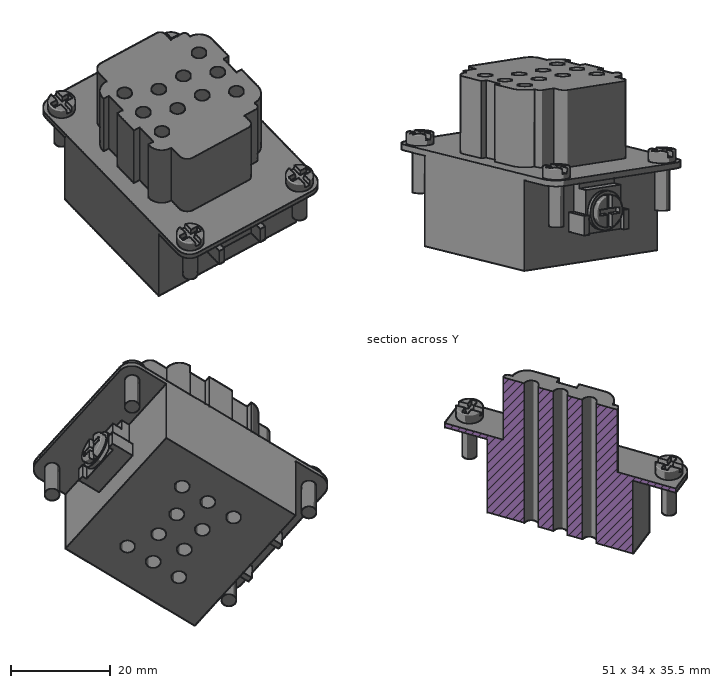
import cadquery as cq


plate_length = 51.0
plate_width = 34.0
plate_thickness = 1.2
plate_corner_radius = 3.0

housing_length = 32.2
housing_width = plate_width
overall_height = 35.5

insert_height = 15.8
insert_half_length = 15.7
insert_back = 13.5
insert_front = -insert_back
back_shoulder = 6.7
back_step = 10.35
front_shoulder = -10.25
step_half_length = 12.6
lobe_half_length = 11.05
lobe_radius = 3.2
back_shoulder_radius = 1.25
back_step_radius = 0.8
front_shoulder_radius = 2.0
back_slot_half_width = 2.2
back_slot_floor = 12.25
front_notch_half_width = 7.6
front_notch_floor = -12.2
front_key_half_width = 2.87
front_key_face = -13.6

contact_diameter = 3.0
contact_pitch = 6.4
outer_row_y = 9.2
inner_row_y = 3.05

screw_spacing_x = 44.0
screw_spacing_y = 27.0
screw_shank_diameter = 3.0
screw_shank_length = 10.0
screw_head_diameter = 5.5
screw_head_height = 2.2
screw_slot_width = 1.05
screw_slot_depth = 1.1
screw_cross_length = 4.1

head_edge_radius = 0.2
slot_wall_taper = 8.0

end_wall_x = 17.95
terminal_width = 8.9
terminal_bottom = -13.1
ear_x = 21.1
ear_thickness = 1.2
ear_top = -9.1
terminal_block_x = 20.1
terminal_block_top = -4.1
terminal_screw_z = -8.7
terminal_washer_diameter = 8.0
terminal_washer_face_x = 21.0
terminal_head_diameter = 6.7
terminal_head_face_x = 22.2
terminal_slot_width = 0.95
terminal_slot_depth = 1.0
terminal_cross_length = 4.7

housing_bottom = insert_height - overall_height


def block(x_start, x_end, y_start, y_end, z_start, z_end):
    """Axis-aligned box between opposite corners."""
    size = (abs(x_end - x_start), abs(y_end - y_start), abs(z_end - z_start))
    corner = (min(x_start, x_end), min(y_start, y_end), min(z_start, z_end))
    return cq.Workplane("XY").box(*size, centered=False).translate(corner)


def centered_slab(length, width, z_start, z_end):
    """Box centered on the Z axis."""
    return block(-length / 2, length / 2, -width / 2, width / 2, z_start, z_end)


def make_plate():
    plate = centered_slab(plate_length, plate_width, -plate_thickness, 0)
    return plate.edges("|Z").fillet(plate_corner_radius)


def make_housing():
    return centered_slab(housing_length, housing_width, housing_bottom, 0)


def insert_prism(half_length, y_start, y_end):
    """Full-height prism of the insert, symmetric about X = 0."""
    return block(-half_length, half_length, y_start, y_end, 0, insert_height)


def make_insert():
    """Stepped insert: a wide body, a rear step and a round-cornered lobe on its center line."""
    body = insert_prism(insert_half_length, front_shoulder, back_shoulder)
    body = body.edges("|Z and <Y").fillet(front_shoulder_radius)
    body = body.edges("|Z and >Y").fillet(back_shoulder_radius)

    step = insert_prism(step_half_length, 0, back_step)
    step = step.edges("|Z and >Y").fillet(back_step_radius)

    lobe = insert_prism(lobe_half_length, insert_front, insert_back)
    lobe = lobe.edges("|Z").fillet(lobe_radius)

    back_slot = insert_prism(back_slot_half_width, back_slot_floor, insert_back)
    front_notch = insert_prism(front_notch_half_width, insert_front, front_notch_floor)
    front_key = insert_prism(front_key_half_width, front_key_face, front_notch_floor)
    return body.union(step).union(lobe).cut(back_slot).cut(front_notch).union(front_key)


def make_contact_holes():
    outer_row = [(column * contact_pitch, outer_row_y) for column in (-1, 0, 1)]
    inner_row = [(side * contact_pitch / 2, inner_row_y) for side in (-1, 1)]
    back_half = outer_row + inner_row
    front_half = [(x, -y) for x, y in back_half]
    return (
        cq.Workplane("XY", origin=(0, 0, housing_bottom))
        .pushPoints(back_half + front_half)
        .circle(contact_diameter / 2)
        .extrude(overall_height)
    )


def make_screw_head(plane, diameter, height, slot_width, slot_depth, cross_length):
    """Head rising from a plane, with a through slot along the plane's X crossed by a short arm."""
    head = cq.Workplane(plane).circle(diameter / 2).extrude(height)
    head = head.faces(cq.selectors.DirectionMinMaxSelector(plane.zDir)).edges().fillet(head_edge_radius)
    for arm_length, arm_width in ((diameter, slot_width), (slot_width, cross_length)):
        arm = (
            cq.Workplane(plane)
            .workplane(offset=height - slot_depth)
            .rect(arm_length, arm_width)
            .extrude(slot_depth, taper=-slot_wall_taper)
        )
        head = head.cut(arm)
    return head


def make_corner_screw():
    """Mounting screw hanging through the plate, its head resting on the plate's top face."""
    shank = cq.Workplane("XY").circle(screw_shank_diameter / 2).extrude(-screw_shank_length)
    head = make_screw_head(
        cq.Plane.XY(),
        screw_head_diameter,
        screw_head_height,
        screw_slot_width,
        screw_slot_depth,
        screw_cross_length,
    )
    return head.union(shank)


def make_end_supports(side):
    """Wall and pair of ears on one end of the housing; side is -1 or 1."""
    inner_x = side * housing_length / 2
    half_width = terminal_width / 2
    supports = block(
        inner_x, side * end_wall_x, -half_width, half_width, terminal_bottom, -plate_thickness
    )
    for ear_side in (-1, 1):
        ear = block(
            inner_x,
            side * ear_x,
            ear_side * half_width,
            ear_side * (half_width + ear_thickness),
            terminal_bottom,
            ear_top,
        )
        supports = supports.union(ear)
    return supports


def make_earth_terminal():
    """Clamp block on the -X end with a washer and a cross-slotted screw head."""
    half_width = terminal_width / 2
    clamp = block(
        -housing_length / 2,
        -terminal_block_x,
        -half_width,
        half_width,
        terminal_bottom,
        terminal_block_top,
    )
    clamp_face = cq.Plane(
        origin=(-terminal_block_x, 0, terminal_screw_z), xDir=(0, 0, 1), normal=(-1, 0, 0)
    )
    washer = (
        cq.Workplane(clamp_face)
        .circle(terminal_washer_diameter / 2)
        .extrude(terminal_washer_face_x - terminal_block_x)
    )
    head = make_screw_head(
        clamp_face,
        terminal_head_diameter,
        terminal_head_face_x - terminal_block_x,
        terminal_slot_width,
        terminal_slot_depth,
        terminal_cross_length,
    )
    return clamp.union(washer).union(head)


part = make_plate().union(make_housing()).union(make_insert())
part = part.cut(make_contact_holes())
for end in (-1, 1):
    part = part.union(make_end_supports(end))
part = part.union(make_earth_terminal())

corner_screw = make_corner_screw()
for x_side in (-1, 1):
    for y_side in (-1, 1):
        position = (x_side * screw_spacing_x / 2, y_side * screw_spacing_y / 2, 0)
        part = part.union(corner_screw.translate(position))

result = part